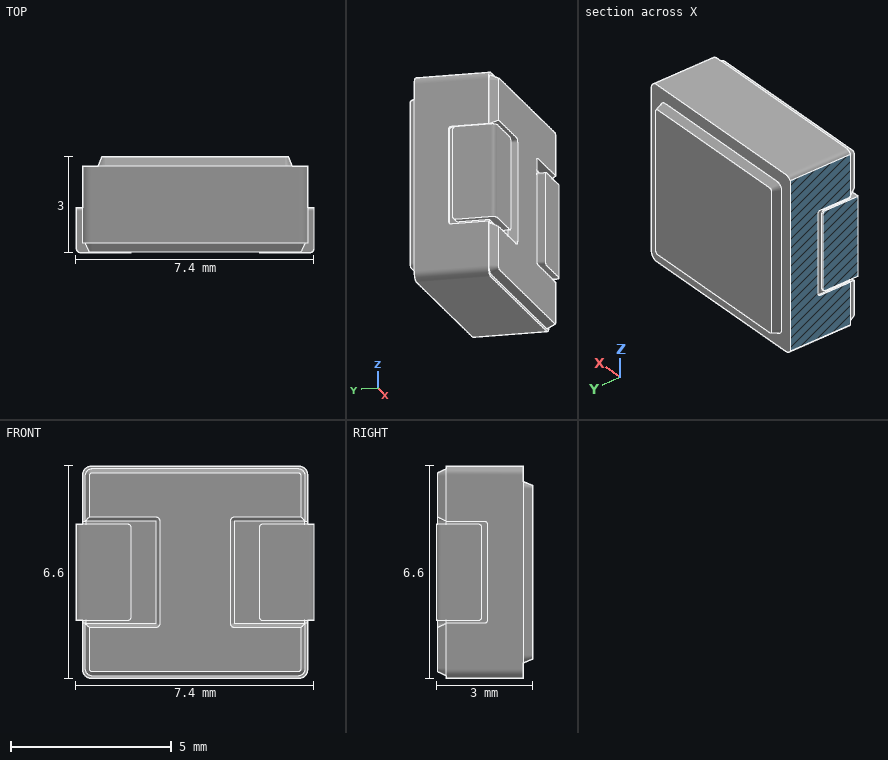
import cadquery as cq
body_length = 7.0
body_height = 6.6
body_corner_radius = 0.275
draft_angle = 25.0
step_corner_radius = 0.22
front_bevel_depth = 0.275
front_bevel_inset = 0.08
core_depth = 2.4
back_step_depth = 0.295
back_step_inset = 0.48
back_step_angle = 22.0

pocket_depth = front_bevel_depth
pocket_floor_start = 1.22
pocket_floor_half_height = 1.59
pocket_corner_radius = 0.01
slot_half_height = 1.575
slot_depth = 0.1
slot_reach = 1.555
slot_corner_radius = 0.075

overall_length = 7.4
terminal_height = 3.0
terminal_foot_start = 2.0
terminal_standoff = 0.03
terminal_side_reach = 1.38
terminal_bend_radius = 0.155
terminal_corner_radius = 0.1

side_face = body_length / 2
slot_floor = side_face - slot_depth
terminal_outer = overall_length / 2
back_face = front_bevel_depth + core_depth


def rounded_block(length, height, radius, start, depth, angle=0.0):
    """Rounded rectangle in XZ, extruded from Y = start by depth along Y, narrowing by angle."""
    direction = 1 if depth > 0 else -1
    return (
        cq.Workplane(cq.Plane((0, start, 0), xDir=(1, 0, 0), normal=(0, direction, 0)))
        .sketch()
        .rect(length, height)
        .vertices()
        .fillet(radius)
        .finalize()
        .extrude(abs(depth), taper=angle)
    )


def make_body():
    core = rounded_block(body_length, body_height, body_corner_radius, front_bevel_depth, core_depth)
    front = rounded_block(
        body_length - 2 * front_bevel_inset,
        body_height - 2 * front_bevel_inset,
        step_corner_radius,
        front_bevel_depth,
        -front_bevel_depth,
        draft_angle,
    )
    back = rounded_block(
        body_length - 2 * back_step_inset,
        body_height - 2 * back_step_inset,
        step_corner_radius,
        back_face,
        back_step_depth,
        back_step_angle,
    )
    return core.union(front).union(back)


def make_recess():
    """Space cleared around the +X terminal."""
    pocket_length = terminal_outer - pocket_floor_start
    pocket = rounded_block(
        pocket_length, 2 * pocket_floor_half_height, pocket_corner_radius,
        pocket_depth, -pocket_depth, -draft_angle,
    ).translate((pocket_floor_start + pocket_length / 2, 0, 0))
    slot = (
        cq.Workplane("XY")
        .box(2 * slot_depth, slot_reach, 2 * slot_half_height, centered=(True, False, True))
        .translate((side_face, 0, 0))
        .edges("|X and >Y")
        .fillet(slot_corner_radius)
    )
    return pocket.union(slot)


def make_terminal():
    """Terminal at the +X end: a foot across the front pocket and a leg along the side slot."""
    terminal = (
        cq.Workplane("XY", origin=(0, 0, -terminal_height / 2))
        .moveTo(terminal_foot_start, -terminal_standoff)
        .lineTo(terminal_outer, -terminal_standoff)
        .lineTo(terminal_outer, terminal_side_reach)
        .lineTo(slot_floor, terminal_side_reach)
        .lineTo(slot_floor, pocket_depth)
        .lineTo(terminal_foot_start, pocket_depth)
        .close()
        .extrude(terminal_height)
    )
    terminal = terminal.edges("|Z and >X and <Y").fillet(terminal_bend_radius)
    terminal = terminal.edges("|Y and <X").fillet(terminal_corner_radius)
    return terminal.edges("|X and >Y").fillet(terminal_corner_radius)


def at_both_ends(feature):
    return feature.union(feature.mirror("YZ"))


result = make_body().cut(at_both_ends(make_recess())).union(at_both_ends(make_terminal()))